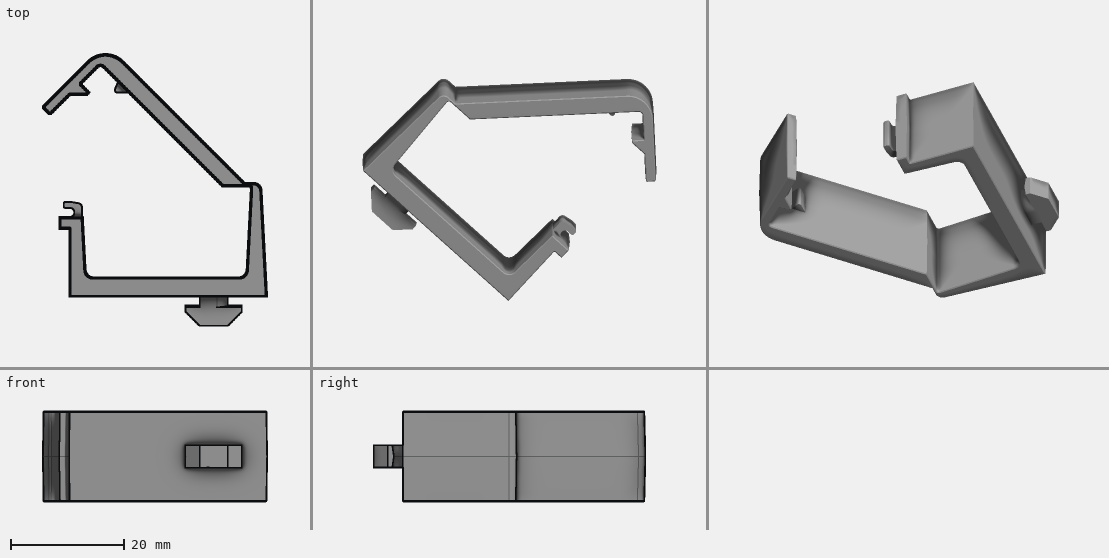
import cadquery as cq
import math

band_width = 16.0
draft_angle = 1.0
rim_chamfer = 0.17
half_width = band_width / 2

base_right = 35.1
floor_height = 3.4
floor_corner_radius = 1.35
wall_lean = math.tan(math.radians(3))
base_overrun = 0.5

left_wall_top = 14.1
left_wall_floor_x = 3.05
lip_bottom = 11.95
lip_reach = 1.75

hinge_top = 20.1
hinge_bottom = 19.45
hinge_outer_radius = 1.45
hinge_inner_radius = 0.35
right_wall_floor_x = 31.35

crest_x = 6.45
crest_y = 44.75
crest_outer_radius = 4.4
crest_inner_radius = 0.63
arm_thickness = 3.25
flap_thickness = 2.0
flap_length = 15.95
flap_tip_radius = 0.4

barb_start = 8.1
barb_height = 2.1
barb_tip_width = 0.65

hook_width = 6.15
hook_top = 16.75
hook_tip_x = -0.95
hook_tip_bottom = 15.65
hook_tip_radius = 0.35
hook_bend_x = 0.4
hook_crown_radius = 1.45
hook_back_x = 2.3
hook_shoulder_y = 16.4
hook_shoulder_radius = 0.75
hook_throat_x = 0.9
hook_throat_radius = 0.7
hook_root_x = 0.1
hook_root_y = left_wall_top - 0.7

wedge_width = 4.0
wedge_bottom = 36.1
wedge_left = 7.9
wedge_top = (8.6, 37.9)
wedge_radius = 0.45

foot_center_x = 25.6
foot_length = 10.0
foot_width = 4.0
foot_bottom = -5.2
foot_bevel = 2.5
foot_ridge_y = -1.6
foot_shoulder_y = -1.9
stem_length = foot_length / 2


def rounded_outline(corners):
    """Closed outline through (x, y, radius) corners, each rounded by a tangent arc."""
    count = len(corners)
    stretches = []
    for i, (x, y, radius) in enumerate(corners):
        corner = cq.Vector(x, y)
        if radius == 0:
            stretches.append([corner])
            continue
        before = (cq.Vector(*corners[i - 1][:2]) - corner).normalized()
        after = (cq.Vector(*corners[(i + 1) % count][:2]) - corner).normalized()
        half_angle = before.getAngle(after) / 2
        setback = radius / math.tan(half_angle)
        bulge = radius / math.sin(half_angle) - radius
        middle = corner + (before + after).normalized() * bulge
        stretches.append([corner + before * setback, middle, corner + after * setback])

    outline = cq.Workplane("XY").moveTo(*stretches[0][-1].toTuple()[:2])
    for stretch in stretches[1:] + stretches[:1]:
        outline = outline.lineTo(*stretch[0].toTuple()[:2])
        if len(stretch) == 3:
            outline = outline.threePointArc(stretch[1].toTuple()[:2], stretch[2].toTuple()[:2])
    return outline.close()


def lid_corner(down_flap, down_arm, radius=0.0):
    """Corner placed by its distances from the crest corner along the two lid legs."""
    x = crest_x + (down_arm - down_flap) * math.sqrt(0.5)
    y = crest_y - (down_arm + down_flap) * math.sqrt(0.5)
    return (x, y, radius)


def frame_corners():
    """Corners of the clip at its mid-plane, counter-clockwise from the bottom left."""
    arm_outer_sum = crest_x + crest_y
    arm_inner_sum = arm_outer_sum - arm_thickness * math.sqrt(2)
    barb_end = barb_start + barb_tip_width
    barb_depth = flap_thickness + barb_height
    hinge_inner_x = right_wall_floor_x + (hinge_bottom - floor_height) * wall_lean
    left_wall_top_x = left_wall_floor_x - (left_wall_top - floor_height) * wall_lean
    return [
        (0, -base_overrun, 0),
        (base_right + base_overrun * wall_lean, -base_overrun, 0),
        (base_right - hinge_top * wall_lean, hinge_top, hinge_outer_radius),
        (arm_outer_sum - hinge_top, hinge_top, 0),
        (crest_x, crest_y, 0),
        lid_corner(flap_length, 0, flap_tip_radius),
        lid_corner(flap_length, flap_thickness, flap_tip_radius),
        lid_corner(barb_end + barb_height, flap_thickness),
        lid_corner(barb_end, barb_depth),
        lid_corner(barb_start, barb_depth),
        lid_corner(barb_start, flap_thickness),
        lid_corner(arm_thickness, flap_thickness, crest_inner_radius),
        (arm_inner_sum - hinge_bottom, hinge_bottom, 0),
        (hinge_inner_x, hinge_bottom, hinge_inner_radius),
        (right_wall_floor_x, floor_height, floor_corner_radius),
        (left_wall_floor_x, floor_height, floor_corner_radius),
        (left_wall_top_x, left_wall_top, 0),
        (-lip_reach, left_wall_top, 0),
        (-lip_reach, lip_bottom, 0),
        (0, lip_bottom, 0),
    ]


def make_frame():
    half = rounded_outline(frame_corners()).extrude(half_width, taper=draft_angle)
    trim = cq.Workplane("XY").box(2 * base_right, base_overrun, band_width, centered=(True, False, False))
    half = half.cut(trim.translate((base_right / 2, -base_overrun, 0)))
    crest_edge = cq.selectors.NearestToPointSelector((crest_x, crest_y, half_width / 2))
    half = half.edges(crest_edge).fillet(crest_outer_radius)
    half = half.faces(">Z").edges().chamfer(rim_chamfer)
    return half.union(half.mirror("XY"))


def make_hook():
    corners = [
        (hook_back_x, hook_root_y, 0),
        (hook_back_x, hook_shoulder_y, hook_shoulder_radius),
        (hook_bend_x, hook_top, hook_crown_radius),
        (hook_tip_x, hook_top, hook_tip_radius),
        (hook_tip_x, hook_tip_bottom, hook_tip_radius),
        (hook_throat_x, hook_tip_bottom, hook_throat_radius),
        (hook_throat_x, left_wall_top, hook_throat_radius),
        (hook_root_x, left_wall_top, 0),
        (hook_root_x, hook_root_y, 0),
    ]
    return rounded_outline(corners).extrude(hook_width / 2, both=True)


def make_wedge():
    arm_inner_sum = crest_x + crest_y - arm_thickness * math.sqrt(2)
    embed = arm_thickness / 2
    corners = [
        (wedge_left, wedge_bottom, wedge_radius),
        (arm_inner_sum - wedge_bottom + embed, wedge_bottom, 0),
        (wedge_top[0] + embed, wedge_top[1], 0),
        (*wedge_top, 0),
    ]
    return rounded_outline(corners).extrude(wedge_width / 2, both=True)


def make_foot():
    half_length = foot_length / 2
    half_foot = foot_width / 2
    bevel_top = foot_bottom + foot_bevel
    head = (
        cq.Workplane("XY")
        .polyline([
            (-half_length, foot_ridge_y),
            (-half_length, bevel_top),
            (foot_bevel - half_length, foot_bottom),
            (half_length - foot_bevel, foot_bottom),
            (half_length, bevel_top),
            (half_length, foot_ridge_y),
        ])
        .close()
        .extrude(half_foot, both=True)
    )
    ridged_section = (
        cq.Workplane("YZ")
        .polyline([
            (foot_bottom, -half_foot),
            (foot_shoulder_y, -half_foot),
            (foot_ridge_y, 0),
            (foot_shoulder_y, half_foot),
            (foot_bottom, half_foot),
        ])
        .close()
        .extrude(half_length, both=True)
    )
    half_stem = stem_length / 2
    stem = (
        cq.Workplane("XZ", origin=(0, floor_height / 2, 0))
        .moveTo(-half_stem, half_foot)
        .lineTo(half_stem - half_foot, half_foot)
        .radiusArc((half_stem, 0), half_foot)
        .lineTo(half_stem, -half_foot)
        .lineTo(half_foot - half_stem, -half_foot)
        .radiusArc((-half_stem, 0), half_foot)
        .close()
        .extrude(floor_height / 2 - foot_bottom - foot_bevel)
    )
    return head.intersect(ridged_section).union(stem).translate((foot_center_x, 0, 0))


result = make_frame().union(make_hook()).union(make_wedge()).union(make_foot())